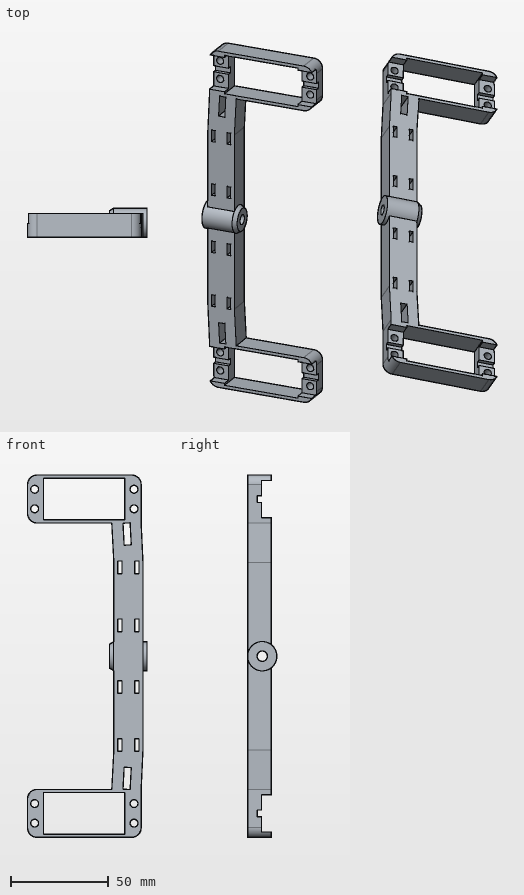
import cadquery as cq
import math

height = 185.0
depth = 12.2

frame_length = 58.0
frame_height = 24.6
frame_corner = 5.0
frame_center_z = (height - frame_height) / 2
window_height = 21.0
window_start_x = 8.3
window_end_x = 49.5

hole_diameter = 3.9
hole_spacing = 10.0
hole_inset = 3.7

relief_height = 18.9
relief_depth = 5.0
notch_height = 3.3
notch_depth = 2.2

arm_left_x = 44.0
arm_width = 15.0
straight_half_height = 48.0
lean_angle = 3.0
arm_half_height = height / 2 - frame_height
arm_lean = (arm_half_height - straight_half_height) * math.tan(math.radians(lean_angle))

tie_slot_length = 6.3
tie_slot_width = 2.0
tie_slot_xs = (47.2, 55.9)
tie_slot_zs = (15.7, 45.3)
long_slot_length = 11.1
long_slot_width = 3.5
long_slot_x = 50.9
long_slot_z = 62.3

boss_diameter = 15.0
boss_center_y = boss_diameter / 2
boss_start_x = 41.8
boss_end_x = 61.0
boss_end_diameter = 12.2
boss_bore_diameter = 5.2


def front_plane():
    """Sketch plane on the front face; extrusions on it go backward along +Y."""
    return cq.Workplane("XZ")


def block(start_x, end_x, start_y, end_y, center_z, size_z):
    """Box given by its X and Y ranges, centered on a height."""
    box = cq.Workplane("XY").box(end_x - start_x, end_y - start_y, size_z, centered=False)
    return box.translate((start_x, start_y, center_z - size_z / 2))


def make_frame(center_z):
    frame = block(0, frame_length, 0, depth, center_z, frame_height)
    return frame.edges("|Y").fillet(frame_corner)


def cut_frame(body, center_z):
    window = block(window_start_x, window_end_x, 0, depth, center_z, window_height)
    relief_floor = depth - relief_depth
    relief = block(0, frame_length, relief_floor, depth, center_z, relief_height)
    notch = block(0, frame_length, relief_floor - notch_depth, depth, center_z, notch_height)
    hole_centers = [
        (x, center_z + side * hole_spacing / 2)
        for x in (hole_inset, frame_length - hole_inset)
        for side in (-1, 1)
    ]
    holes = front_plane().pushPoints(hole_centers).circle(hole_diameter / 2).extrude(-depth)
    return body.cut(window).cut(relief).cut(notch).cut(holes)


def make_arm():
    left_end_x = arm_left_x - arm_lean
    right_x = arm_left_x + arm_width
    overlap_z = frame_center_z
    outline = [
        (arm_left_x, -straight_half_height),
        (arm_left_x, straight_half_height),
        (left_end_x, arm_half_height),
        (left_end_x, overlap_z),
        (frame_length, overlap_z),
        (frame_length, arm_half_height),
        (right_x, straight_half_height),
        (right_x, -straight_half_height),
        (frame_length, -arm_half_height),
        (frame_length, -overlap_z),
        (left_end_x, -overlap_z),
        (left_end_x, -arm_half_height),
    ]
    return front_plane().polyline(outline).close().extrude(-depth)


def make_arm_slots():
    tie_centers = [(x, side * z) for x in tie_slot_xs for z in tie_slot_zs for side in (-1, 1)]
    slots = front_plane().pushPoints(tie_centers).rect(tie_slot_width, tie_slot_length).extrude(-depth)
    for side in (-1, 1):
        slot = (
            front_plane()
            .transformed(rotate=(0, 0, side * lean_angle), offset=(long_slot_x, side * long_slot_z, 0))
            .rect(long_slot_width, long_slot_length)
            .extrude(-depth)
        )
        slots = slots.union(slot)
    return slots


def make_boss():
    """Cylinder along X, coned down between the arm and its left end."""
    radius = boss_diameter / 2
    profile = [
        (boss_start_x, 0),
        (boss_start_x, boss_end_diameter / 2),
        (arm_left_x, radius),
        (boss_end_x, radius),
        (boss_end_x, 0),
    ]
    boss = cq.Workplane("XY").polyline(profile).close().revolve(360, (0, 0), (1, 0))
    return boss.translate((0, boss_center_y, 0))


def make_boss_bore():
    plane = cq.Workplane("YZ", origin=(boss_start_x, boss_center_y, 0))
    return plane.circle(boss_bore_diameter / 2).extrude(boss_end_x - boss_start_x)


body = make_arm()
for side in (-1, 1):
    body = body.union(make_frame(side * frame_center_z))
body = body.union(make_boss())
for side in (-1, 1):
    body = cut_frame(body, side * frame_center_z)
body = body.cut(make_arm_slots())
result = body.cut(make_boss_bore())